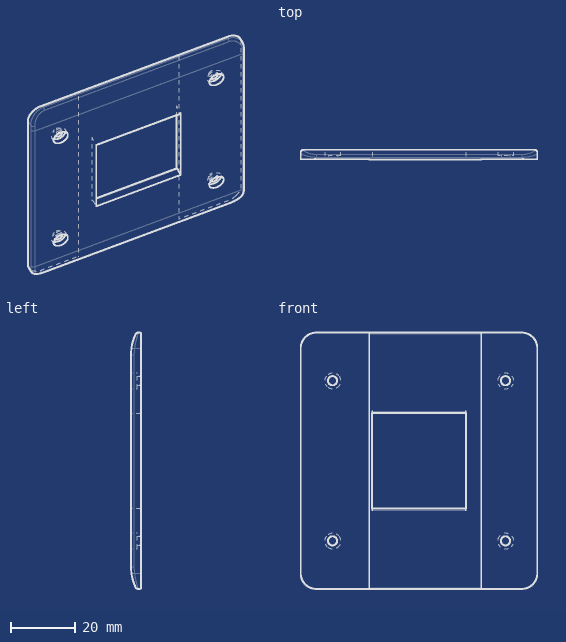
import cadquery as cq
import math

width = 74.0
height = 80.15
thickness = 3.2
corner_radius = 5.0

end_curve_length = 7.0
end_curve_radius = 15.0
back_edge_radius = 1.0

strip_width = 34.95
strip_offset = 2.0
window_width = 29.3
window_height = 29.8
front_edge_radius = 0.5
side_recess = 0.2

hole_diameter = 2.8
counterbore_diameter = 5.0
counterbore_depth = 1.8
hole_spacing_x = 54.0
hole_spacing_z = 50.0

front_y = -thickness / 2
back_y = thickness / 2
end_z = height / 2


def arc_drop(distance):
    """Fall of the end curve at a distance beyond its tangent line."""
    return end_curve_radius - math.sqrt(end_curve_radius**2 - distance**2)


def make_plate():
    """Rounded rectangle with curved back ends and a rounded back rim."""
    tangent_z = end_z - end_curve_length
    edge_y = back_y - arc_drop(end_curve_length)
    middle_z = tangent_z + end_curve_length / 2
    middle_y = back_y - arc_drop(end_curve_length / 2)
    profile = (
        cq.Workplane("YZ")
        .moveTo(front_y, -end_z)
        .lineTo(edge_y, -end_z)
        .threePointArc((middle_y, -middle_z), (back_y, -tangent_z))
        .lineTo(back_y, tangent_z)
        .threePointArc((middle_y, middle_z), (edge_y, end_z))
        .lineTo(front_y, end_z)
        .close()
        .extrude(width / 2, both=True)
    )
    plate = profile.edges("|Y").fillet(corner_radius)
    back_end_edge = plate.faces(">Z").edges(">Y")
    return back_end_edge.fillet(back_edge_radius)


def edge_rounding(edge_z, inward, length):
    """Cutter rounding a front edge along X; inward (+1 or -1) points into the material."""
    r = front_edge_radius
    diagonal = r * (1 - math.sqrt(0.5))
    return (
        cq.Workplane("YZ")
        .moveTo(front_y, edge_z)
        .lineTo(front_y + r, edge_z)
        .threePointArc(
            (front_y + diagonal, edge_z + inward * diagonal),
            (front_y, edge_z + inward * r),
        )
        .close()
        .extrude(length / 2, both=True)
    )


result = make_plate()
result = result.cut(cq.Workplane("XY").box(window_width, thickness, window_height))

for side in (-1, 1):
    result = result.cut(edge_rounding(side * end_z, -side, width))
    result = result.cut(edge_rounding(side * window_height / 2, side, window_width))

strip_left = strip_offset - strip_width / 2
strip_right = strip_offset + strip_width / 2
for left, right in ((-width / 2, strip_left), (strip_right, width / 2)):
    side_area = cq.Workplane("XY").box(right - left, side_recess, height)
    side_center = ((left + right) / 2, front_y + side_recess / 2, 0)
    result = result.cut(side_area.translate(side_center))

screw_holes = (
    cq.Workplane("XZ", origin=(0, back_y, 0))
    .rarray(hole_spacing_x, hole_spacing_z, 2, 2)
    .circle(hole_diameter / 2)
    .extrude(thickness)
)
counterbores = (
    cq.Workplane("XZ", origin=(0, back_y, 0))
    .rarray(hole_spacing_x, hole_spacing_z, 2, 2)
    .circle(counterbore_diameter / 2)
    .extrude(counterbore_depth)
)
result = result.cut(screw_holes).cut(counterbores)